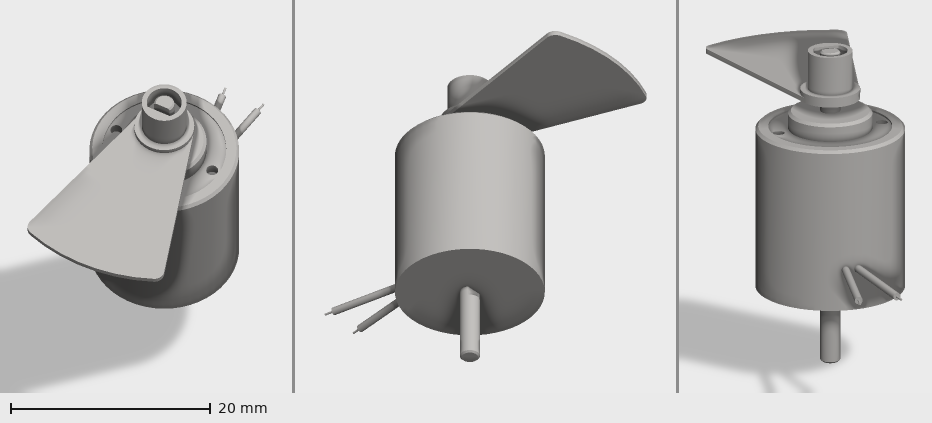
import cadquery as cq
import math


OVERALL_LENGTH = 36.0

HOUSING_DIAMETER = 15.0
HOUSING_HEIGHT = 17.0
EDGE_CHAMFER = 0.3

CAP_DIAMETER = 12.4
CAP_THICKNESS = 1.08
CAP_SETBACK = 0.18
BOSS_DIAMETER = 8.45
BOSS_HEIGHT = 1.65
CAP_HOLE_DIAMETER = 1.2
CAP_HOLE_OFFSET = 5.4
cap_top = HOUSING_HEIGHT - CAP_SETBACK
cap_bottom = cap_top - CAP_THICKNESS
boss_top = HOUSING_HEIGHT + BOSS_HEIGHT

BLADE_BOTTOM = 20.0
BLADE_THICKNESS = 0.5
BLADE_RADIUS = 18.5
BLADE_CORNER_RADIUS = 1.0
LEFT_EDGE_ANGLE = 12.5
RIGHT_EDGE_ANGLE = 17.5
FLANGE_DIAMETER = 6.0
FLANGE_THICKNESS = 1.0
HUB_DIAMETER = 4.5
HUB_HEIGHT = 5.0
HUB_POCKET_DIAMETER = 3.5
HUB_POCKET_FLAT = 1.22
HUB_POCKET_DEPTH = 2.0
hub_top = BLADE_BOTTOM + HUB_HEIGHT

SHAFT_DIAMETER = 2.0
SHAFT_FLAT = 0.5
SHAFT_BOTTOM = -8.0
SHAFT_CHAMFER = 0.18
NOTCH_HEIGHT = 1.0
shaft_top = hub_top

WIRE_HEIGHT = 4.32
WIRE_TILT = 8.5
WIRE_START_X = 0.5
WIRE_START_Y = 6.48
INSULATION_DIAMETER = 0.8
CORE_DIAMETER = 0.2
BARE_LENGTH = 1.0
tilt = math.radians(WIRE_TILT)
wire_tip_y = OVERALL_LENGTH - BLADE_RADIUS - CORE_DIAMETER / 2 * math.sin(tilt)
core_length = (wire_tip_y - WIRE_START_Y) / math.cos(tilt)
insulation_length = core_length - BARE_LENGTH


def cylinder(diameter, bottom, top):
    """Upright cylinder on the shaft axis."""
    return cq.Workplane("XY").workplane(offset=bottom).circle(diameter / 2).extrude(top - bottom)


def flat_cutter(flat, bottom, top):
    """Block that fills everything on the -Y side of a flat."""
    width = HOUSING_DIAMETER
    return (
        cq.Workplane("XY")
        .workplane(offset=bottom)
        .center(0, -flat - width / 2)
        .rect(width, width)
        .extrude(top - bottom)
    )


def d_cylinder(diameter, flat, bottom, top):
    """Cylinder on the shaft axis with a flat on its -Y side."""
    return cylinder(diameter, bottom, top).cut(flat_cutter(flat, bottom, top))


def wire_cylinder(side, diameter, length):
    """Cylinder along a lead wire; side is -1 for the left wire and 1 for the right."""
    start = cq.Vector(side * WIRE_START_X, WIRE_START_Y, WIRE_HEIGHT)
    direction = cq.Vector(side * math.sin(tilt), math.cos(tilt), 0)
    return cq.Workplane(cq.Solid.makeCylinder(diameter / 2, length, start, direction))


def make_housing():
    housing = cylinder(HOUSING_DIAMETER, 0, HOUSING_HEIGHT)
    housing = housing.faces(">Z").edges().chamfer(EDGE_CHAMFER)
    housing = housing.cut(cylinder(CAP_DIAMETER, cap_bottom, HOUSING_HEIGHT))
    housing = housing.cut(cylinder(SHAFT_DIAMETER, 0, HOUSING_HEIGHT))
    for side in (-1, 1):
        housing = housing.cut(wire_cylinder(side, INSULATION_DIAMETER, insulation_length))
    return housing


def make_end_cap():
    boss = cylinder(BOSS_DIAMETER, cap_bottom, boss_top).faces(">Z").edges().chamfer(EDGE_CHAMFER)
    cap = cylinder(CAP_DIAMETER, cap_bottom, cap_top).union(boss)
    holes = (
        cq.Workplane("XY")
        .workplane(offset=cap_bottom)
        .pushPoints([(-CAP_HOLE_OFFSET, 0), (CAP_HOLE_OFFSET, 0)])
        .circle(CAP_HOLE_DIAMETER / 2)
        .extrude(CAP_THICKNESS)
    )
    return cap.cut(holes).cut(cylinder(SHAFT_DIAMETER, cap_bottom, boss_top))


def make_shaft():
    shaft = cylinder(SHAFT_DIAMETER, SHAFT_BOTTOM, shaft_top)
    shaft = shaft.faces("<Z or >Z").edges().chamfer(SHAFT_CHAMFER)
    shaft = shaft.cut(flat_cutter(SHAFT_FLAT, BLADE_BOTTOM, shaft_top))
    return shaft.cut(flat_cutter(SHAFT_FLAT, -NOTCH_HEIGHT, 0))


def blade_edge(side, angle_degrees):
    """Ends of a straight blade edge: the point tangent to the flange and the point on the tip arc."""
    angle = math.radians(angle_degrees)
    flange_radius = FLANGE_DIAMETER / 2
    run = math.sqrt(BLADE_RADIUS**2 - flange_radius**2)
    inner_x = flange_radius * math.cos(angle)
    inner_y = flange_radius * math.sin(angle)
    outer_x = inner_x + run * math.sin(angle)
    outer_y = inner_y - run * math.cos(angle)
    return (side * inner_x, inner_y), (side * outer_x, outer_y)


def make_blade():
    left_inner, left_outer = blade_edge(-1, LEFT_EDGE_ANGLE)
    right_inner, right_outer = blade_edge(1, RIGHT_EDGE_ANGLE)
    return (
        cq.Workplane("XY")
        .workplane(offset=BLADE_BOTTOM)
        .moveTo(*left_inner)
        .lineTo(*left_outer)
        .threePointArc((0, -BLADE_RADIUS), right_outer)
        .lineTo(*right_inner)
        .close()
        .extrude(BLADE_THICKNESS)
        .edges("|Z and (<X or >X)")
        .fillet(BLADE_CORNER_RADIUS)
    )


def make_shutter():
    shutter = make_blade()
    shutter = shutter.union(cylinder(FLANGE_DIAMETER, BLADE_BOTTOM, BLADE_BOTTOM + FLANGE_THICKNESS))
    shutter = shutter.union(cylinder(HUB_DIAMETER, BLADE_BOTTOM, hub_top))
    pocket = d_cylinder(HUB_POCKET_DIAMETER, HUB_POCKET_FLAT, hub_top - HUB_POCKET_DEPTH, hub_top)
    bore = d_cylinder(SHAFT_DIAMETER, SHAFT_FLAT, BLADE_BOTTOM, hub_top)
    return shutter.cut(pocket).cut(bore)


def make_wire_core(side):
    return wire_cylinder(side, CORE_DIAMETER, core_length)


def make_wire_insulation(side):
    sleeve = wire_cylinder(side, INSULATION_DIAMETER, insulation_length)
    return sleeve.cut(make_wire_core(side))


housing = make_housing()
end_cap = make_end_cap()
shaft = make_shaft()
shutter = make_shutter()

wires = []
for side in (-1, 1):
    wires.append(make_wire_insulation(side).val())
    wires.append(make_wire_core(side).val())

result = cq.Compound.makeCompound([housing.val(), end_cap.val(), shaft.val(), shutter.val(), *wires])